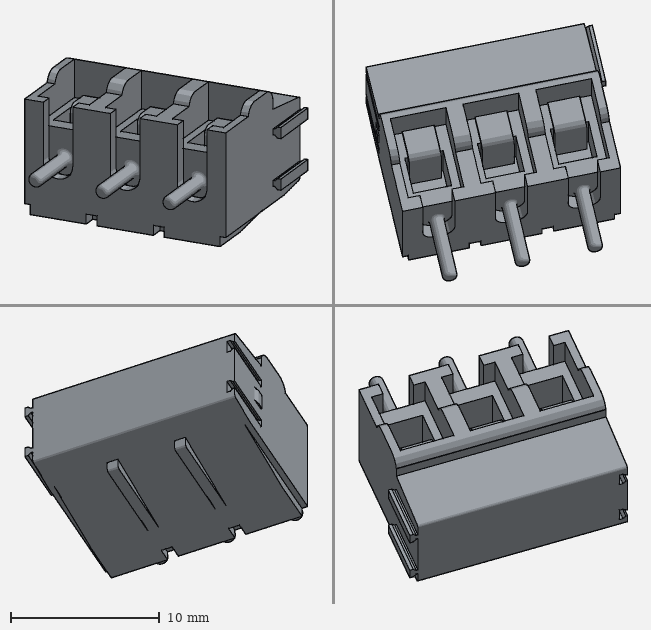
import cadquery as cq
import math


POLES = 3
PITCH = 5.0
POLE_CENTRES = [PITCH * (i + 0.5) for i in range(POLES)]

HOUSING_WIDTH = POLES * PITCH
HOUSING_DEPTH = 11.53
SHOULDER_HEIGHT = 8.23
CREST_HEIGHT = 9.0
CREST_FRONT = 3.46
CREST_REAR = 7.33
CREST_RADIUS = 1.0
TAPER_SLOPE = math.tan(math.radians(7))
TOP_TAPER_HEIGHT = 7.46
UNDERSIDE_TAPER_START = 3.13
TAIL_EDGE_RADIUS = 0.25

STEP_HEIGHT = 0.72
STEP_INSET = 0.42
NOTCH_WIDTH = 0.8
NOTCH_DEPTH = 1.0
RIB_REAR = 9.55
RIB_EDGE_RADIUS = 0.25
RIB_TOP = 1.57

POCKET_WIDTH = 3.82
POCKET_FRONT = 0.9
POCKET_REAR = 6.5
SLOT_WIDTH = 2.2
PIN_HEIGHT = 4.0
POCKET_FLOOR = PIN_HEIGHT - SLOT_WIDTH / 2

CONTACT_TOP = 6.24
WINDOW_SIZE = 2.63
WINDOW_FRONT = 2.02
PIN_RADIUS = 0.5
PIN_TIP_Y = -3.71
PIN_FILLET = 0.3

CLAMP_WIDTH = SLOT_WIDTH
CLAMP_FRONT = 4.17
CLAMP_TOP = 6.63
CLAMP_RADIUS = 0.66
CLAMP_REAR_TANGENT = 6.08

JOINT_HEIGHTS = [2.13, 5.83]
TONGUE_LENGTH = 0.58
TONGUE_NECK_LENGTH = 0.13
TONGUE_FLARE_LENGTH = 0.2
TONGUE_NECK_HEIGHT = 0.42
TONGUE_HEAD_HEIGHT = 0.8
GROOVE_CLEARANCE = 0.1

NUB_PROUD = 0.1
NUB_FRONT = 7.4
NUB_RAMP_START = 7.93
NUB_REAR = 8.37
NUB_BOTTOM = 3.4
NUB_HEIGHT = 1.19


def box(x0, x1, y0, y1, z0, z1):
    """Box between two corners."""
    return cq.Workplane("XY").box(x1 - x0, y1 - y0, z1 - z0, centered=False).translate((x0, y0, z0))


def centred_box(centre_x, width, y0, y1, z0, z1):
    """Box centred on one X position."""
    return box(centre_x - width / 2, centre_x + width / 2, y0, y1, z0, z1)


def housing_shell():
    """Side outline run across the full width: tapered tail, square front and rounded crest."""
    tail_length = HOUSING_DEPTH - CREST_REAR
    tail_top = TOP_TAPER_HEIGHT - TAPER_SLOPE * tail_length
    tail_bottom = TAPER_SLOPE * (HOUSING_DEPTH - UNDERSIDE_TAPER_START)
    outline = [
        (0, 0),
        (UNDERSIDE_TAPER_START, 0),
        (HOUSING_DEPTH, tail_bottom),
        (HOUSING_DEPTH, tail_top),
        (CREST_REAR, TOP_TAPER_HEIGHT),
        (CREST_REAR, SHOULDER_HEIGHT),
        (0, SHOULDER_HEIGHT),
    ]
    shell = cq.Workplane("YZ").polyline(outline).close().extrude(HOUSING_WIDTH)
    shell = shell.faces(">Y").edges("|X").fillet(TAIL_EDGE_RADIUS)
    crest = box(0, HOUSING_WIDTH, CREST_FRONT, CREST_REAR, TOP_TAPER_HEIGHT - CREST_RADIUS, CREST_HEIGHT)
    crest = crest.faces(">Z").edges("|X").fillet(CREST_RADIUS)
    return shell.union(crest)


def side_step(x0):
    """Strip removed along one lower side edge."""
    return box(x0, x0 + STEP_INSET, 0, HOUSING_DEPTH, 0, STEP_HEIGHT)


def underside_rib(centre_x):
    """Rib that carries the flat underside back below the taper, behind a notch."""
    rib = centred_box(centre_x, NOTCH_WIDTH, NOTCH_DEPTH, RIB_REAR, 0, RIB_TOP)
    return rib.edges("|X and >Y and <Z").fillet(RIB_EDGE_RADIUS)


def front_slot(centre_x):
    """Open-topped slot with a round bottom, through the wall in front of a pocket."""
    bottom = (
        cq.Workplane("XZ", origin=(centre_x, 0, PIN_HEIGHT)).circle(SLOT_WIDTH / 2).extrude(-POCKET_FRONT)
    )
    return bottom.union(centred_box(centre_x, SLOT_WIDTH, 0, POCKET_FRONT, PIN_HEIGHT, SHOULDER_HEIGHT))


def terminal_pocket(centre_x):
    """Open-topped pocket for one contact and its clamp."""
    return centred_box(centre_x, POCKET_WIDTH, POCKET_FRONT, POCKET_REAR, POCKET_FLOOR, CREST_HEIGHT)


def dovetail(x0, centre_z, clearance):
    """Dovetail bar along Y that widens toward +X."""
    neck = TONGUE_NECK_HEIGHT / 2 + clearance
    head = TONGUE_HEAD_HEIGHT / 2 + clearance
    flare_end = TONGUE_NECK_LENGTH + TONGUE_FLARE_LENGTH
    outline = [
        (0, -neck),
        (TONGUE_NECK_LENGTH, -neck),
        (flare_end, -head),
        (TONGUE_LENGTH, -head),
        (TONGUE_LENGTH, head),
        (flare_end, head),
        (TONGUE_NECK_LENGTH, neck),
        (0, neck),
    ]
    length = HOUSING_DEPTH - CREST_REAR
    plane = cq.Workplane("XZ", origin=(x0, CREST_REAR, centre_z))
    return plane.polyline(outline).close().extrude(-length)


def latch_nub():
    """Small nub with a ramp on its rear end."""
    outline = [(0, NUB_FRONT), (-NUB_PROUD, NUB_FRONT), (-NUB_PROUD, NUB_RAMP_START), (0, NUB_REAR)]
    return cq.Workplane("XY", origin=(0, 0, NUB_BOTTOM)).polyline(outline).close().extrude(NUB_HEIGHT)


def make_housing():
    housing = housing_shell()
    for x0 in (0, HOUSING_WIDTH - STEP_INSET):
        housing = housing.cut(side_step(x0))
    for i in range(1, POLES):
        boundary = PITCH * i
        housing = housing.cut(centred_box(boundary, NOTCH_WIDTH, 0, NOTCH_DEPTH, 0, STEP_HEIGHT))
        housing = housing.union(underside_rib(boundary))
    for centre_x in POLE_CENTRES:
        housing = housing.cut(terminal_pocket(centre_x)).cut(front_slot(centre_x))
    for centre_z in JOINT_HEIGHTS:
        housing = housing.cut(dovetail(0, centre_z, GROOVE_CLEARANCE))
        housing = housing.union(dovetail(HOUSING_WIDTH, centre_z, 0))
    return housing.union(latch_nub())


def make_clamp(centre_x):
    """Clamp block with a round front edge; its round rear edge is cut off by the pocket wall."""
    full_rear = CLAMP_REAR_TANGENT + CLAMP_RADIUS
    clamp = centred_box(centre_x, CLAMP_WIDTH, CLAMP_FRONT, full_rear, POCKET_FLOOR, CLAMP_TOP)
    clamp = clamp.faces(">Z").edges("|X").fillet(CLAMP_RADIUS)
    return clamp.intersect(terminal_pocket(centre_x))


def contact_pin(centre_x):
    """Pin turned about its own axis, with a flared root and a rounded tip."""
    corner = PIN_FILLET * (1 - math.sqrt(0.5))
    tip_flat = PIN_RADIUS - PIN_FILLET
    profile = (
        cq.Workplane("XY", origin=(centre_x, 0, PIN_HEIGHT))
        .moveTo(0, PIN_TIP_Y)
        .lineTo(tip_flat, PIN_TIP_Y)
        .threePointArc((PIN_RADIUS - corner, PIN_TIP_Y + corner), (PIN_RADIUS, PIN_TIP_Y + PIN_FILLET))
        .lineTo(PIN_RADIUS, POCKET_FRONT - PIN_FILLET)
        .threePointArc(
            (PIN_RADIUS + corner, POCKET_FRONT - corner), (PIN_RADIUS + PIN_FILLET, POCKET_FRONT)
        )
        .lineTo(0, POCKET_FRONT)
        .close()
    )
    return profile.revolve(360, (0, 0, 0), (0, 1, 0))


def make_contact(centre_x, clamp):
    """Contact block with a square window, a recess for the clamp behind it, and the pin in front."""
    contact = centred_box(centre_x, POCKET_WIDTH, POCKET_FRONT, POCKET_REAR, POCKET_FLOOR, CONTACT_TOP)
    window_rear = WINDOW_FRONT + WINDOW_SIZE
    window = centred_box(centre_x, WINDOW_SIZE, WINDOW_FRONT, window_rear, POCKET_FLOOR, CONTACT_TOP)
    return contact.cut(window).cut(clamp).union(contact_pin(centre_x))


housing = make_housing()
clamps = [make_clamp(centre_x) for centre_x in POLE_CENTRES]
contacts = [make_contact(centre_x, clamp) for centre_x, clamp in zip(POLE_CENTRES, clamps)]

result = cq.Compound.makeCompound(
    [housing.val()] + [contact.val() for contact in contacts] + [clamp.val() for clamp in clamps]
)